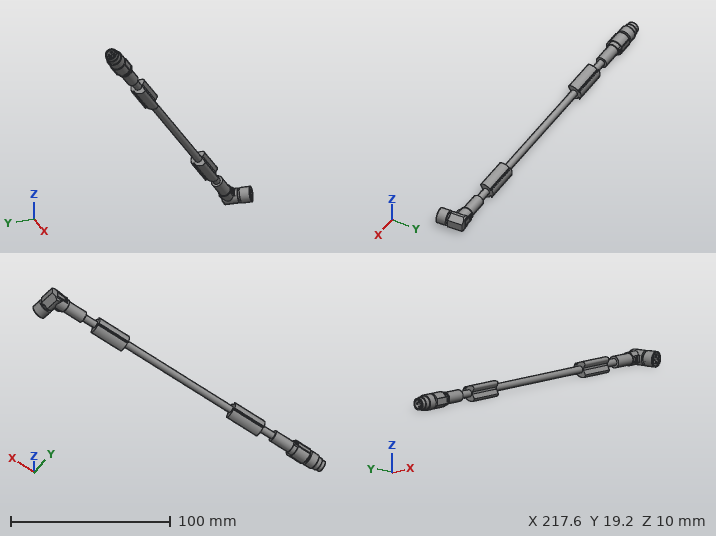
import cadquery as cq
import math


OVERALL_LENGTH = 217.56
LOWEST_Y = -14.16

CABLE_RADIUS = 2.3
SLEEVE_RADIUS = 3.75
SLEEVE_LENGTH = 13.7

TIP_END = 2.7
COLLAR_END = 5.9
NUT_END = 11.4
GAP_END = 12.7
GRIP_END = 21.9
SHOULDER_END = 25.0
PLUG_SLEEVE_END = SHOULDER_END + SLEEVE_LENGTH

TIP_RADIUS = 3.75
COLLAR_RADIUS = 4.25
NUT_RADIUS = 5.0
GAP_RADIUS = 3.3
GRIP_RADIUS = 4.95
SHOULDER_RADIUS = 4.3

PLUG_PAD_REACH = 5.0
ELBOW_PAD_REACH = 4.6
ELBOW_PAD_SHIFT = -0.2
PAD_HALF_HEIGHT = 2.2
PAD_CHAMFER = 0.9
PAD_SLOT_WIDTH = 0.6
PAD_SLOT_HEIGHT = 2.6
PAD_SLOT_DEPTH = 0.5
PAD_SLOT_PITCH = 1.2
PAD_SLOT_COUNT = 2

CONTACT_COUNT = 4
CONTACT_PITCH_RADIUS = 1.8
PIN_RADIUS = 0.5
PIN_SETBACK = 0.8
TIP_BORE_RADIUS = 2.9
TIP_BORE_DEPTH = 6.0
KEY_WIDTH = 1.0
KEY_HEIGHT = 0.5

LEAN_ANGLE = 5.0
COUPLING_RADIUS = 5.0
COUPLING_LENGTH = 6.4
NECK_LENGTH = 1.4
NECK_RADIUS = 3.6
HEAD_RADIUS = 4.9
HEAD_FLAT_HALF_HEIGHT = 2.7
HEAD_BACK = 4.2
HEAD_BACK_CHAMFER = 1.1
COUPLING_BORE_RADIUS = 4.1
COUPLING_BORE_DEPTH = 5.5
INSERT_RADIUS = 3.0
CONTACT_HOLE_RADIUS = 0.55
CONTACT_HOLE_DEPTH = 5.0
ELBOW_START = 201.9
ELBOW_RADIUS = 4.3
ELBOW_PAD_SETBACK = 1.2

LEAN = math.radians(LEAN_ANGLE)
COUPLING_END = (-LOWEST_Y - COUPLING_RADIUS * math.sin(LEAN)) / math.cos(LEAN)
HEAD_X = OVERALL_LENGTH - COUPLING_END * math.sin(LEAN) - COUPLING_RADIUS * math.cos(LEAN)
COUPLING_START = COUPLING_END - COUPLING_LENGTH
HEAD_FRONT = COUPLING_START - NECK_LENGTH

CLIP_STARTS = (48.6, 155.4)
CLIP_LENGTH = 23.2
CLIP_HALF_HEIGHT = 5.0
CLIP_ARC_RADIUS = 6.5
CLIP_CROWN_Y = -1.8
CLIP_ARC_BACK_Y = 2.7
CLIP_ARC_FRONT_Y = -3.0
CLIP_FRONT_Y = -4.2
CLIP_LIP_Z = 3.0
CLIP_GROOVE_FLOOR_Z = 2.4
CLIP_GROOVE_BACK_Y = 3.7
CLIP_RIB_Z = 3.6
CLIP_BACK_Y = 5.0
V_WALL_ANGLE = 30.0
V_FLOOR_Y = -2.9
V_FLOOR_TOP_Z = 1.2
V_FLOOR_BOTTOM_Z = -0.2


def rod(start, end, radius):
    """Cylinder on the cable axis between two X positions."""
    return cq.Workplane("YZ").workplane(offset=start).circle(radius).extrude(end - start)


def contact_points():
    """Contact centres, on the two main axes of the connector face."""
    points = []
    for index in range(CONTACT_COUNT):
        angle = 2 * math.pi * index / CONTACT_COUNT
        across = CONTACT_PITCH_RADIUS * math.cos(angle)
        up = CONTACT_PITCH_RADIUS * math.sin(angle)
        points.append((across, up))
    return points


def grip_pads(start, end, slotted_end, reach):
    """Flat pads on both sides, with slots and a chamfer at the sleeve end."""
    length = end - start
    pads = cq.Workplane("XY").box(length, 2 * reach, 2 * PAD_HALF_HEIGHT)
    chamfered_face = ">X" if slotted_end == end else "<X"
    pads = pads.faces(chamfered_face).edges("|Z").chamfer(PAD_CHAMFER)
    pads = pads.translate(((start + end) / 2, 0, 0))
    inward = -1 if slotted_end == end else 1
    for index in range(PAD_SLOT_COUNT):
        slot_x = slotted_end + inward * (index + 1) * PAD_SLOT_PITCH
        for side in (-1, 1):
            slot = cq.Workplane("XY").box(PAD_SLOT_WIDTH, 2 * PAD_SLOT_DEPTH, PAD_SLOT_HEIGHT)
            pads = pads.cut(slot.translate((slot_x, side * reach, 0)))
    return pads


def straight_plug():
    """Pin plug with collar, coupling nut, grip and sleeve."""
    plug = rod(0, TIP_END, TIP_RADIUS)
    plug = plug.union(rod(TIP_END, COLLAR_END, COLLAR_RADIUS))
    plug = plug.union(rod(COLLAR_END, NUT_END, NUT_RADIUS))
    plug = plug.union(rod(NUT_END, GAP_END, GAP_RADIUS))
    plug = plug.union(rod(GAP_END, GRIP_END, GRIP_RADIUS))
    plug = plug.union(rod(GRIP_END, SHOULDER_END, SHOULDER_RADIUS))
    plug = plug.union(grip_pads(GAP_END, SHOULDER_END, SHOULDER_END, PLUG_PAD_REACH))
    plug = plug.union(rod(SHOULDER_END, PLUG_SLEEVE_END, SLEEVE_RADIUS))
    plug = plug.cut(rod(0, TIP_BORE_DEPTH, TIP_BORE_RADIUS))
    pins = (
        cq.Workplane("YZ")
        .workplane(offset=PIN_SETBACK)
        .pushPoints(contact_points())
        .circle(PIN_RADIUS)
        .extrude(TIP_BORE_DEPTH - PIN_SETBACK)
    )
    key = (
        cq.Workplane("YZ")
        .center(-TIP_BORE_RADIUS, 0)
        .rect(2 * KEY_HEIGHT, KEY_WIDTH)
        .extrude(TIP_BORE_DEPTH)
    )
    return plug.union(pins).union(key)


def label_clip(start):
    """Constant section: arched top and bottom, round back, grooves and a V channel facing -Y."""
    arc_centre_z = CLIP_HALF_HEIGHT - CLIP_ARC_RADIUS

    def arc_z(y):
        return arc_centre_z + math.sqrt(CLIP_ARC_RADIUS**2 - (y - CLIP_CROWN_Y) ** 2)

    arc_back_z = arc_z(CLIP_ARC_BACK_Y)
    arc_front_z = arc_z(CLIP_ARC_FRONT_Y)
    nose_y = CLIP_ARC_FRONT_Y + (CLIP_FRONT_Y - CLIP_ARC_FRONT_Y) * math.sin(math.pi / 4)
    nose_z = CLIP_LIP_Z + (arc_front_z - CLIP_LIP_Z) * math.sin(math.pi / 4)
    v_slope = math.tan(math.radians(V_WALL_ANGLE))
    v_top_y = V_FLOOR_Y - (CLIP_LIP_Z - V_FLOOR_TOP_Z) * v_slope
    v_bottom_y = V_FLOOR_Y - (CLIP_LIP_Z + V_FLOOR_BOTTOM_Z) * v_slope
    profile = (
        cq.Workplane("YZ")
        .workplane(offset=start)
        .moveTo(CLIP_GROOVE_BACK_Y, CLIP_RIB_Z)
        .lineTo(CLIP_GROOVE_BACK_Y, CLIP_GROOVE_FLOOR_Z)
        .lineTo(CLIP_ARC_BACK_Y, CLIP_GROOVE_FLOOR_Z)
        .lineTo(CLIP_ARC_BACK_Y, arc_back_z)
        .threePointArc((CLIP_CROWN_Y, CLIP_HALF_HEIGHT), (CLIP_ARC_FRONT_Y, arc_front_z))
        .threePointArc((nose_y, nose_z), (v_top_y, CLIP_LIP_Z))
        .lineTo(V_FLOOR_Y, V_FLOOR_TOP_Z)
        .lineTo(V_FLOOR_Y, V_FLOOR_BOTTOM_Z)
        .lineTo(v_bottom_y, -CLIP_LIP_Z)
        .threePointArc((nose_y, -nose_z), (CLIP_ARC_FRONT_Y, -arc_front_z))
        .threePointArc((CLIP_CROWN_Y, -CLIP_HALF_HEIGHT), (CLIP_ARC_BACK_Y, -arc_back_z))
        .lineTo(CLIP_ARC_BACK_Y, -CLIP_GROOVE_FLOOR_Z)
        .lineTo(CLIP_GROOVE_BACK_Y, -CLIP_GROOVE_FLOOR_Z)
        .lineTo(CLIP_GROOVE_BACK_Y, -CLIP_RIB_Z)
        .threePointArc((CLIP_BACK_Y, 0), (CLIP_GROOVE_BACK_Y, CLIP_RIB_Z))
        .close()
    )
    return profile.extrude(CLIP_LENGTH)


def socket_head():
    """Angled head, neck and coupling, built along -Y at the origin and then leaned."""

    def section(distance):
        """Sketch plane across the head axis, facing -Y."""
        return cq.Workplane("XZ").workplane(offset=distance)

    head = (
        section(-HEAD_BACK)
        .moveTo(0, HEAD_RADIUS)
        .threePointArc((-HEAD_RADIUS, 0), (0, -HEAD_RADIUS))
        .lineTo(HEAD_RADIUS, -HEAD_FLAT_HALF_HEIGHT)
        .lineTo(HEAD_RADIUS, HEAD_FLAT_HALF_HEIGHT)
        .close()
        .extrude(HEAD_BACK + HEAD_FRONT)
    )
    envelope = (
        cq.Workplane("XY")
        .box(2 * HEAD_RADIUS, HEAD_BACK + HEAD_FRONT, 2 * HEAD_RADIUS)
        .faces(">Y")
        .edges("|X")
        .chamfer(HEAD_BACK_CHAMFER)
        .translate((0, (HEAD_BACK - HEAD_FRONT) / 2, 0))
    )
    head = head.intersect(envelope)
    neck = section(HEAD_FRONT).circle(NECK_RADIUS).extrude(NECK_LENGTH)
    coupling = section(COUPLING_START).circle(COUPLING_RADIUS).extrude(COUPLING_LENGTH)
    annular_bore = (
        section(COUPLING_END - COUPLING_BORE_DEPTH)
        .circle(COUPLING_BORE_RADIUS)
        .circle(INSERT_RADIUS)
        .extrude(COUPLING_BORE_DEPTH)
    )
    contact_holes = (
        section(COUPLING_END - CONTACT_HOLE_DEPTH)
        .pushPoints(contact_points())
        .circle(CONTACT_HOLE_RADIUS)
        .extrude(CONTACT_HOLE_DEPTH)
    )
    keyway = (
        section(COUPLING_END - COUPLING_BORE_DEPTH)
        .center(INSERT_RADIUS, 0)
        .rect(2 * KEY_HEIGHT, KEY_WIDTH)
        .extrude(COUPLING_BORE_DEPTH)
    )
    head = head.union(neck).union(coupling)
    head = head.cut(annular_bore).cut(contact_holes).cut(keyway)
    head = head.rotate((0, 0, 0), (0, 0, 1), LEAN_ANGLE)
    return head.translate((HEAD_X, 0, 0))


def angled_socket():
    """Sleeve and round elbow arm leading into the leaned head."""
    socket = rod(ELBOW_START - SLEEVE_LENGTH, ELBOW_START, SLEEVE_RADIUS)
    socket = socket.union(rod(ELBOW_START, HEAD_X, ELBOW_RADIUS))
    pad_start = ELBOW_START + ELBOW_PAD_SETBACK
    pads = grip_pads(pad_start, HEAD_X, pad_start, ELBOW_PAD_REACH)
    socket = socket.union(pads.translate((0, ELBOW_PAD_SHIFT, 0)))
    return socket.union(socket_head())


result = rod(PLUG_SLEEVE_END, ELBOW_START - SLEEVE_LENGTH, CABLE_RADIUS)
result = result.union(straight_plug())
for clip_start in CLIP_STARTS:
    result = result.union(label_clip(clip_start))
result = result.union(angled_socket())